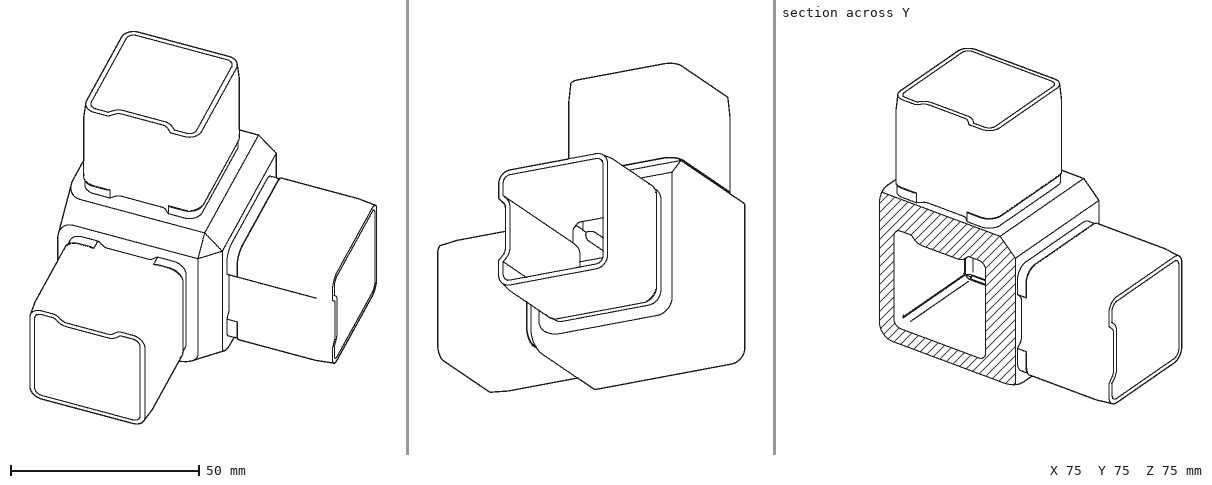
import cadquery as cq
import math


hub_size = 45.0
hub_chamfer = 5.0
hub_fillet = 4.5
closed_side = (hub_size - hub_chamfer) / 2
plug_side = hub_size - closed_side

plug_length = 30.0
plug_width = 33.8
plug_corner = 4.0
neck_length = 3.0
neck_inset = 0.3
tip_length = 4.95
tip_inset = 0.5
plug_end = plug_side + plug_length
tip_start = plug_end - tip_length

groove_depth = 2.0
groove_floor_half = 5.85
groove_root_radius = 1.8
tight_lip_radius = 1.2
wide_lip_radius = 2.85

cavity_width = 30.0
wall = (plug_width - cavity_width) / 2
long_cavity_reach = 14.0
short_cavity_reach = 13.0

crossing = (0, 0, 0)
x_plane = cq.Plane(crossing, xDir=(0, 0, -1), normal=(1, 0, 0))
y_plane = cq.Plane(crossing, xDir=(-1, 0, 0), normal=(0, -1, 0))
z_plane = cq.Plane(crossing, xDir=(1, 0, 0), normal=(0, 0, 1))
plugs = [
    (x_plane, tight_lip_radius, short_cavity_reach),
    (y_plane, wide_lip_radius, long_cavity_reach),
    (z_plane, tight_lip_radius, long_cavity_reach),
]


def plug_outline(plane, height, outer_lip_radius, inset=0):
    """Closed plug outline, grooved on local -Y, moved inwards by inset."""
    half = plug_width / 2 - inset
    corner = plug_corner - inset
    straight = half - corner
    groove_floor = groove_depth - half
    root_radius = groove_root_radius + inset
    lip_radius = max(outer_lip_radius - inset, 0)

    arc_run = math.sin(math.radians(45))
    arc_drop = 1 - math.cos(math.radians(45))
    root_x = groove_floor_half + root_radius * arc_run
    root_y = groove_floor - root_radius * arc_drop
    lip_y = lip_radius * arc_drop - half
    lip_x = root_x + (root_y - lip_y)
    lip_end_x = lip_x + lip_radius * arc_run

    outline = (
        cq.Workplane(plane)
        .workplane(offset=height)
        .moveTo(0, groove_floor)
        .lineTo(groove_floor_half, groove_floor)
        .tangentArcPoint((root_x, root_y), relative=False)
        .lineTo(lip_x, lip_y)
    )
    if lip_radius > 0:
        outline = outline.tangentArcPoint((lip_end_x, -half), relative=False)
    return (
        outline.lineTo(straight, -half)
        .tangentArcPoint((half, -straight), relative=False)
        .lineTo(half, straight)
        .tangentArcPoint((straight, half), relative=False)
        .lineTo(0, half)
        .mirrorY()
    )


def make_hub():
    """Cube chamfered between the plug faces and rounded towards the opposite corner."""
    hub = cq.Workplane("XY").box(hub_size, hub_size, hub_size)
    hub = hub.edges("(>X and <Y) or (<Y and >Z) or (>X and >Z)").chamfer(hub_chamfer)
    closed_edges = hub.edges("(<X and <Z) or (<X and >Y) or (>Y and <Z)")
    slanted_edges = hub.faces("<X or <Z").edges("not(|X or |Y or |Z)")
    hub = closed_edges.add(slanted_edges).fillet(hub_fillet)
    centre_shift = (plug_side - closed_side) / 2
    return hub.translate((centre_shift, -centre_shift, centre_shift))


def make_plug(plane, lip_radius):
    """Solid plug: straight shank from the axis crossing, narrowed neck, tapered tip."""
    taper = math.degrees(math.atan(tip_inset / tip_length))
    shank = plug_outline(plane, 0, lip_radius).extrude(tip_start)
    tip = plug_outline(plane, tip_start, lip_radius).extrude(tip_length, taper=taper)

    neck_width = plug_width - 2 * neck_inset
    neck_core = (
        cq.Sketch()
        .rect(neck_width, neck_width)
        .vertices()
        .fillet(plug_corner - neck_inset)
    )
    neck_frame = (
        cq.Workplane(plane)
        .workplane(offset=plug_side)
        .rect(hub_size, hub_size)
        .extrude(neck_length)
        .cut(cq.Workplane(plane).placeSketch(neck_core).extrude(tip_start))
    )
    return shank.cut(neck_frame).union(tip)


def make_cavity(plane, lip_radius, reach):
    """Plug outline moved in by the wall, from past the axis crossing to the plug end."""
    return plug_outline(plane, -reach, lip_radius, inset=wall).extrude(reach + plug_end)


result = make_hub()
for plane, lip_radius, _ in plugs:
    result = result.union(make_plug(plane, lip_radius))
for plane, lip_radius, reach in plugs:
    result = result.cut(make_cavity(plane, lip_radius, reach))